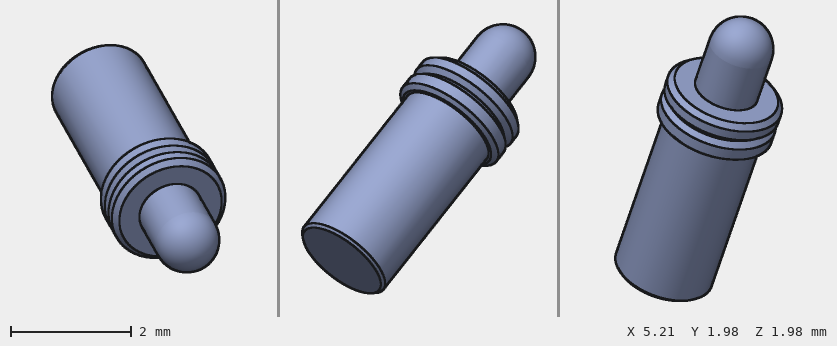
import cadquery as cq

total_length = 5.21

barrel_radius = 0.84
barrel_chamfer = 0.05

collar_start = 3.05
collar_end = 3.805
collar_radius = 0.99
bevel_depth = 0.1
rear_bevel_length = 0.07

groove_position = 3.43

plunger_radius = 0.54


def make_barrel():
    """Cylindrical barrel with a chamfered flat end."""
    barrel = cq.Workplane("YZ").circle(barrel_radius).extrude(collar_start)
    return barrel.faces("<X").chamfer(barrel_chamfer)


def make_collar():
    """Collar with beveled ends and a V groove, as a revolved half profile."""
    bevel_radius = collar_radius - bevel_depth
    return (
        cq.Workplane("XY")
        .moveTo(collar_start, 0)
        .lineTo(collar_start, bevel_radius)
        .lineTo(collar_start + rear_bevel_length, collar_radius)
        .lineTo(groove_position - bevel_depth, collar_radius)
        .lineTo(groove_position, bevel_radius)
        .lineTo(groove_position + bevel_depth, collar_radius)
        .lineTo(collar_end - bevel_depth, collar_radius)
        .lineTo(collar_end, bevel_radius)
        .lineTo(collar_end, 0)
        .close()
        .revolve(360, (0, 0, 0), (1, 0, 0))
    )


def make_plunger():
    """Plunger with a hemispherical tip, as a revolved half profile."""
    tip_center = total_length - plunger_radius
    return (
        cq.Workplane("XY")
        .moveTo(collar_end, 0)
        .lineTo(collar_end, plunger_radius)
        .lineTo(tip_center, plunger_radius)
        .radiusArc((total_length, 0), plunger_radius)
        .close()
        .revolve(360, (0, 0, 0), (1, 0, 0))
    )


result = make_barrel().union(make_collar()).union(make_plunger())